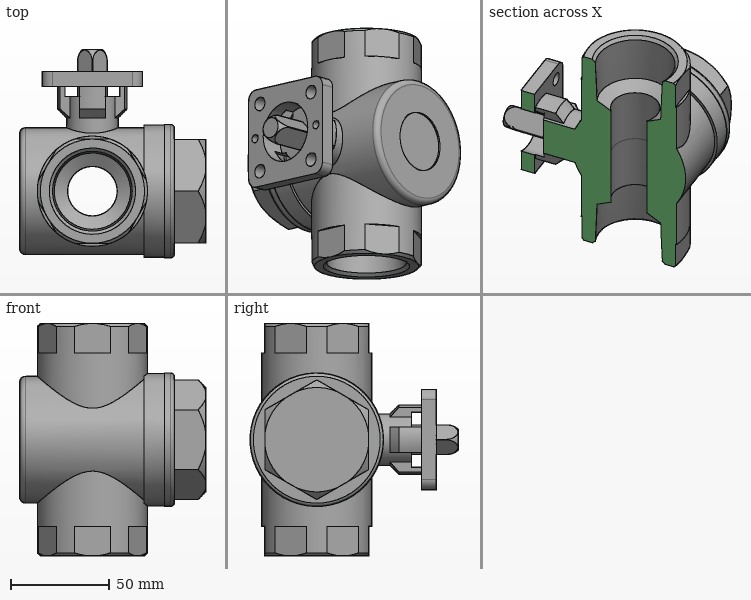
import cadquery as cq
import math


barrel_left = -37.0
barrel_diameter = 64.5
barrel_round = 3.0
collar_start = 26.1
collar_diameter = 67.5
collar_rim_start = 36.8
collar_rim_diameter = 68.0
collar_end = 41.7
collar_round = 2.0
mark_recess_diameter = 30.0
mark_recess_depth = 1.0

cap_end = 57.7
cap_across_corners = 60.9
cap_chamfer = 3.9

port_length = 118.2
port_diameter = 56.0
port_end_chamfer = 1.5
wrench_flats = 6
flat_distance = 26.5
flat_height = 15.0
flow_bore_diameter = 25.0
thread_mouth_diameter = 40.5
thread_root_diameter = 38.8
thread_depth = 25.6
thread_chamfer = 1.7
transition_half_angle = 60

neck_diameter = 26.4
neck_top = 48.2
plate_bottom = 53.2
plate_top = 60.9
plate_size = 51.1
plate_corner_radius = 5.2
plate_opening_diameter = 30.7
bolt_circle_diameter = 50.0
bolt_hole_diameter = 7.0
pin_hole_diameter = 4.1
pin_hole_offset = 21.0
arm_outer_diameter = 35.3
arm_width = 13.1
arm_slope_start = 41.7

stem_diameter = 15.1
stem_across_flats = 11.0
stem_tip_diameter = 10.4
overall_depth = 106.0
stem_top = overall_depth - collar_rim_diameter / 2
stem_nose_length = 5.9


def disc_x(start, end, diameter):
    """Cylinder on the X axis between two X positions."""
    return cq.Workplane("YZ", origin=(start, 0, 0)).circle(diameter / 2).extrude(end - start)


def post_y(start, end, sketch):
    """Sketch with profile X to the right and Z up, extruded from start to end along +Y."""
    plane = cq.Plane(origin=(0, start, 0), xDir=(1, 0, 0), normal=(0, -1, 0))
    return sketch(cq.Workplane(plane)).extrude(start - end)


def cylinder_y(start, end, diameter):
    return post_y(start, end, lambda plane: plane.circle(diameter / 2))


def revolve_y(profile):
    """Turn a profile drawn in the XY plane about the Y axis."""
    return profile.revolve(360, (0, 0, 0), (0, 1, 0))


def make_barrel():
    barrel = disc_x(barrel_left, collar_end, barrel_diameter).faces("<X").edges().fillet(barrel_round)
    collar = disc_x(collar_start, collar_rim_start, collar_diameter)
    rim = disc_x(collar_rim_start, collar_end, collar_rim_diameter).faces(">X").edges().fillet(collar_round)
    recess = disc_x(barrel_left, barrel_left + mark_recess_depth, mark_recess_diameter)
    return barrel.union(collar).union(rim).cut(recess)


def make_cap():
    """Hexagon with corners on +Z and -Z; its outer end is turned to a 45 degree cone."""
    length = cap_end - collar_end
    hexagon = (
        cq.Workplane("YZ", origin=(collar_end, 0, 0))
        .transformed(rotate=(0, 0, 90))
        .polygon(6, cap_across_corners)
        .extrude(length)
    )
    turned = disc_x(collar_end, cap_end, cap_across_corners).faces(">X").edges().chamfer(cap_chamfer)
    return hexagon.intersect(turned)


def make_ports():
    """Round tube through the barrel with six wrench flats at each end."""
    ports = (
        cq.Workplane("XY")
        .circle(port_diameter / 2)
        .extrude(port_length / 2, both=True)
        .faces("<Z or >Z")
        .edges()
        .chamfer(port_end_chamfer)
    )
    flat_cut_depth = port_diameter / 2
    for end in (-1, 1):
        flat_middle = end * (port_length - flat_height) / 2
        for index in range(wrench_flats):
            flat = (
                cq.Workplane("XY")
                .box(port_diameter, flat_cut_depth, flat_height)
                .translate((0, flat_distance + flat_cut_depth / 2, flat_middle))
                .rotate((0, 0, 0), (0, 0, 1), index * 360 / wrench_flats)
            )
            ports = ports.cut(flat)
    return ports


def make_port_bores():
    """Flow bore, with a tapered thread bore and a transition cone at each end."""
    face = port_length / 2
    flow_radius = flow_bore_diameter / 2
    mouth_radius = thread_mouth_diameter / 2
    root_radius = thread_root_diameter / 2
    thread_end = face - thread_depth
    cone_depth = (root_radius - flow_radius) / math.tan(math.radians(transition_half_angle))
    cone_end = thread_end - cone_depth
    half_bore = (
        cq.Workplane("XZ")
        .moveTo(0, 0)
        .lineTo(flow_radius, 0)
        .lineTo(flow_radius, cone_end)
        .lineTo(root_radius, thread_end)
        .lineTo(mouth_radius, face - thread_chamfer)
        .lineTo(mouth_radius + thread_chamfer, face)
        .lineTo(0, face)
        .close()
        .revolve(360, (0, 0, 0), (0, 1, 0))
    )
    return half_bore.union(half_bore.mirror("XY"))


def make_plate():
    plate = post_y(plate_bottom, plate_top, lambda plane: plane.rect(plate_size, plate_size))
    plate = plate.edges("|Y").fillet(plate_corner_radius)
    bolt_spacing = bolt_circle_diameter / math.sqrt(2)
    bolt_holes = post_y(
        plate_bottom,
        plate_top,
        lambda plane: plane.rect(bolt_spacing, bolt_spacing, forConstruction=True)
        .vertices()
        .circle(bolt_hole_diameter / 2),
    )
    pin_places = [(-pin_hole_offset, 0), (pin_hole_offset, 0)]
    pin_holes = post_y(
        plate_bottom,
        plate_top,
        lambda plane: plane.pushPoints(pin_places).circle(pin_hole_diameter / 2),
    )
    opening = cylinder_y(plate_bottom, plate_top, plate_opening_diameter)
    return plate.cut(bolt_holes).cut(pin_holes).cut(opening)


def make_arms():
    """Four arms in a cross, joining the neck to the plate."""
    outer_radius = arm_outer_diameter / 2
    neck_radius = neck_diameter / 2
    slope_end = arm_slope_start - (outer_radius - neck_radius)
    envelope = revolve_y(
        cq.Workplane("XY")
        .moveTo(0, slope_end)
        .lineTo(neck_radius, slope_end)
        .lineTo(outer_radius, arm_slope_start)
        .lineTo(outer_radius, plate_bottom)
        .lineTo(0, plate_bottom)
        .close()
    )
    bar_x = post_y(slope_end, plate_bottom, lambda plane: plane.rect(arm_outer_diameter, arm_width))
    bar_z = post_y(slope_end, plate_bottom, lambda plane: plane.rect(arm_width, arm_outer_diameter))
    clearance = cylinder_y(neck_top, plate_bottom, plate_opening_diameter)
    return envelope.intersect(bar_x.union(bar_z)).cut(clearance)


def make_stem():
    """Square stem set corner-on, with turned corners and a curved nose."""
    radius = stem_diameter / 2
    tip_radius = stem_tip_diameter / 2
    nose_start = stem_top - stem_nose_length
    step_in = radius - tip_radius
    nose_radius = (stem_nose_length**2 + step_in**2) / (2 * step_in)
    half_angle = math.asin(stem_nose_length / nose_radius) / 2
    arc_middle = (
        radius - nose_radius * (1 - math.cos(half_angle)),
        nose_start + nose_radius * math.sin(half_angle),
    )
    turned = revolve_y(
        cq.Workplane("XY")
        .moveTo(0, 0)
        .lineTo(radius, 0)
        .lineTo(radius, nose_start)
        .threePointArc(arc_middle, (tip_radius, stem_top))
        .lineTo(0, stem_top)
        .close()
    )
    square = post_y(0, stem_top, lambda plane: plane.rect(stem_across_flats, stem_across_flats))
    square = square.rotate((0, 0, 0), (0, 1, 0), 45)
    return turned.intersect(square).intersect(cylinder_y(neck_top, stem_top, stem_diameter))


neck_start = barrel_diameter / 4
neck = cylinder_y(neck_start, neck_top, neck_diameter)
body = make_barrel().union(make_cap()).union(make_ports()).union(neck)
body = body.union(make_arms()).union(make_plate()).union(make_stem())
result = body.cut(make_port_bores())